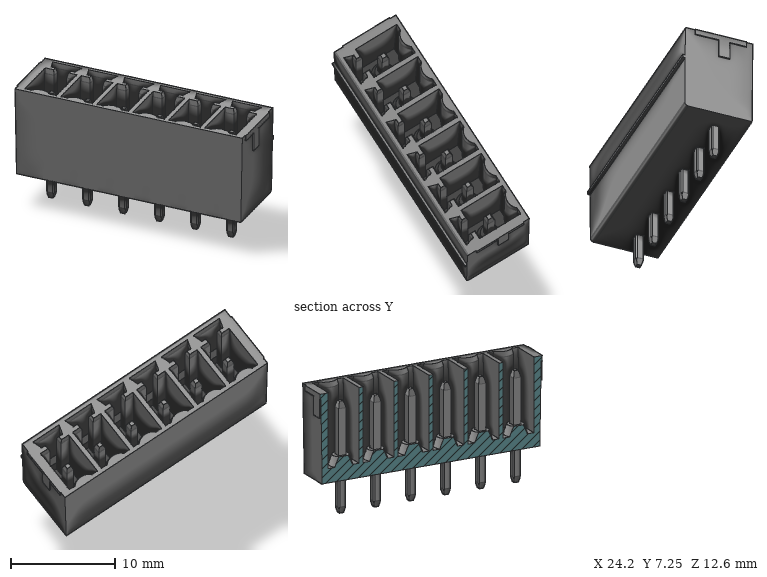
import cadquery as cq
import math


CONTACTS = 6
PITCH = 3.8
CONTACT_XS = [(i - (CONTACTS - 1) / 2) * PITCH for i in range(CONTACTS)]
CONTACT_Y = 2.98

RIM_LENGTH = 24.05
RIM_Z = 9.2
DEPTH = 7.0
END_DRAFT = 1.0
BACK_TOP_FILLET = 0.12
BACK_BOTTOM_FILLET = 0.4

PAD_SPAN = 24.25
PAD_FRONT_Y = 0.68
PAD_BACK_Y = 6.01
PAD_BAR_HEIGHT = 0.58
PAD_STEM_WIDTH = 1.16
PAD_STEM_HEIGHT = 2.5

RIB_TOP_Z = RIM_Z - 3.23
RIB_OUT = 0.25
RIB_TIP_HEIGHT = 0.32
RIB_ROOT_HEIGHT = 0.4

CELL_WIDTH = 3.32
CELL_FRONT_RIM_Y = 0.44
CELL_FRONT_FLOOR_Y = 0.73
CELL_BACK_Y = 4.97
CELL_FLOOR_Z = 1.5
LEAD_HEIGHT = 0.5
LEAD_IN = 0.15
LEAD_Z = RIM_Z - LEAD_HEIGHT

NECK_WIDTH = 1.3
SLOT_FRONT_Y = 5.7
SLOT_BACK_Y = 6.38
SLOT_FLOOR_Z = 3.0
SLOT_FRONT_WIDTH = 2.5
SLOT_BACK_WIDTH = 3.08

BUMP_RADIUS = 1.45
BUMP_AXIS_Y = -0.44

BOSS_BASE_DIAMETER = 2.35
BOSS_TOP_DIAMETER = 1.67
BOSS_HEIGHT = 1.0

PIN_WIDTH = 0.8
PIN_TOP_Z = RIM_Z - 1.24
PIN_BOTTOM_Z = -3.42
PIN_TIP_WIDTH = 0.44
PIN_TIP_HEIGHT = 0.68
TAIL_CHAMFER = 0.12


def box(x_min, x_max, y_min, y_max, z_min, z_max):
    """A box given by its limits."""
    size = (x_max - x_min, y_max - y_min, z_max - z_min)
    return cq.Workplane("XY").box(*size, centered=False).translate((x_min, y_min, z_min))


def prism_along_x(yz_points, length):
    """A YZ outline swept evenly to both sides of X = 0."""
    return cq.Workplane("YZ").polyline(yz_points).close().extrude(length / 2, both=True)


def shell():
    """Solid block with leaning end walls, rounded back edges and a rib across the back."""
    block = box(-RIM_LENGTH / 2, RIM_LENGTH / 2, 0, DEPTH, 0, RIM_Z)
    block = block.edges(">Y and >Z").fillet(BACK_TOP_FILLET)
    block = block.edges(">Y and <Z").fillet(BACK_BOTTOM_FILLET)
    rib = prism_along_x(
        [
            (CELL_BACK_Y, RIB_TOP_Z),
            (DEPTH + RIB_OUT, RIB_TOP_Z),
            (DEPTH + RIB_OUT, RIB_TOP_Z - RIB_TIP_HEIGHT),
            (DEPTH, RIB_TOP_Z - RIB_ROOT_HEIGHT),
            (CELL_BACK_Y, RIB_TOP_Z - RIB_ROOT_HEIGHT),
        ],
        RIM_LENGTH,
    )
    rim_x = RIM_LENGTH / 2
    base_x = rim_x - RIM_Z * math.tan(math.radians(END_DRAFT))
    leaning_ends = (
        cq.Workplane("XZ")
        .polyline([(-base_x, 0), (base_x, 0), (rim_x, RIM_Z), (-rim_x, RIM_Z)])
        .close()
        .extrude(-(DEPTH + RIB_OUT))
    )
    return block.union(rib).intersect(leaning_ends)


def end_pads():
    """T-shaped bars through the block that stand proud of both end walls."""
    end_x = PAD_SPAN / 2
    bar = box(-end_x, end_x, PAD_FRONT_Y, PAD_BACK_Y, RIM_Z - PAD_BAR_HEIGHT, RIM_Z)
    stem_y = CONTACT_Y - PAD_STEM_WIDTH / 2
    stem_z = RIM_Z - PAD_STEM_HEIGHT
    return bar.union(box(-end_x, end_x, stem_y, stem_y + PAD_STEM_WIDTH, stem_z, RIM_Z))


def cell_cavity():
    """Main opening of a cell, with a leaning front wall and a lead-in slope at the back."""
    return prism_along_x(
        [
            (CELL_FRONT_FLOOR_Y, CELL_FLOOR_Z),
            (CELL_FRONT_RIM_Y, RIM_Z),
            (CELL_BACK_Y + LEAD_IN, RIM_Z),
            (CELL_BACK_Y, LEAD_Z),
            (CELL_BACK_Y, CELL_FLOOR_Z),
        ],
        CELL_WIDTH,
    )


def neck_cavity():
    """Passage from the cell to the keying slot, widening towards the rim."""
    half = NECK_WIDTH / 2
    return (
        cq.Workplane("XZ", origin=(0, CONTACT_Y, 0))
        .polyline(
            [
                (-half, CELL_FLOOR_Z),
                (half, CELL_FLOOR_Z),
                (half, LEAD_Z),
                (half + LEAD_IN, RIM_Z),
                (-half - LEAD_IN, RIM_Z),
                (-half, LEAD_Z),
            ]
        )
        .close()
        .extrude(-(SLOT_FRONT_Y - CONTACT_Y))
    )


def slot_cavity():
    """Dovetail keying slot, wider at the back, with lead-in slopes front and back."""
    rim_front_y = SLOT_FRONT_Y - LEAD_IN
    rim_back_y = SLOT_BACK_Y + LEAD_IN
    profile = prism_along_x(
        [
            (SLOT_FRONT_Y, SLOT_FLOOR_Z),
            (SLOT_FRONT_Y, LEAD_Z),
            (rim_front_y, RIM_Z),
            (rim_back_y, RIM_Z),
            (SLOT_BACK_Y, LEAD_Z),
            (SLOT_BACK_Y, SLOT_FLOOR_Z),
        ],
        SLOT_BACK_WIDTH,
    )
    dovetail = (
        cq.Workplane("XY")
        .polyline(
            [
                (-SLOT_FRONT_WIDTH / 2, rim_front_y),
                (SLOT_FRONT_WIDTH / 2, rim_front_y),
                (SLOT_BACK_WIDTH / 2, rim_back_y),
                (-SLOT_BACK_WIDTH / 2, rim_back_y),
            ]
        )
        .close()
        .extrude(RIM_Z)
    )
    return profile.intersect(dovetail)


def front_bump():
    """Round bulge of the front wall, narrowing over the lead-in height."""
    column = cq.Workplane("XY").circle(BUMP_RADIUS).extrude(LEAD_Z)
    cone_base = cq.Vector(0, 0, LEAD_Z)
    cone = cq.Solid.makeCone(BUMP_RADIUS, BUMP_RADIUS - LEAD_IN, LEAD_HEIGHT, pnt=cone_base)
    return column.union(cq.Workplane(cone)).translate((0, BUMP_AXIS_Y, 0))


def pin_boss():
    """Cone on the cell floor that surrounds the pin."""
    base_center = cq.Vector(0, CONTACT_Y, CELL_FLOOR_Z)
    return cq.Workplane(
        cq.Solid.makeCone(BOSS_BASE_DIAMETER / 2, BOSS_TOP_DIAMETER / 2, BOSS_HEIGHT, pnt=base_center)
    )


def pin_hole():
    """Square hole through the cell floor and the boss."""
    return cq.Workplane("XY").center(0, CONTACT_Y).rect(PIN_WIDTH, PIN_WIDTH).extrude(RIM_Z)


def make_housing():
    cavity = cell_cavity().cut(front_bump()).union(neck_cavity()).union(slot_cavity())
    cavity = cavity.cut(pin_boss()).union(pin_hole())
    housing = shell().union(end_pads())
    for x in CONTACT_XS:
        housing = housing.cut(cavity.translate((x, 0, 0)))
    return housing


def pin_tip(base_z, height):
    """Square taper from the full pin width at base_z; a negative height points it down."""
    return (
        cq.Workplane("XY", origin=(0, 0, base_z))
        .rect(PIN_WIDTH, PIN_WIDTH)
        .workplane(offset=height)
        .rect(PIN_TIP_WIDTH, PIN_TIP_WIDTH)
        .loft()
    )


def make_pin(x):
    """Square pin with tapered ends; the tail below the housing has chamfered edges."""
    top_base_z = PIN_TOP_Z - PIN_TIP_HEIGHT
    bottom_base_z = PIN_BOTTOM_Z + PIN_TIP_HEIGHT
    upper = cq.Workplane("XY").rect(PIN_WIDTH, PIN_WIDTH).extrude(top_base_z)
    upper = upper.union(pin_tip(top_base_z, PIN_TIP_HEIGHT))
    tail = cq.Workplane("XY").rect(PIN_WIDTH, PIN_WIDTH).extrude(bottom_base_z)
    tail = tail.union(pin_tip(bottom_base_z, -PIN_TIP_HEIGHT))
    chamfered_bar = (
        cq.Workplane("XY")
        .rect(PIN_WIDTH, PIN_WIDTH)
        .extrude(PIN_BOTTOM_Z)
        .edges("|Z")
        .chamfer(TAIL_CHAMFER)
    )
    return upper.union(tail.intersect(chamfered_bar)).translate((x, CONTACT_Y, 0))


housing = make_housing()
pins = [make_pin(x) for x in CONTACT_XS]

result = cq.Compound.makeCompound([housing.val(), *[pin.val() for pin in pins]])